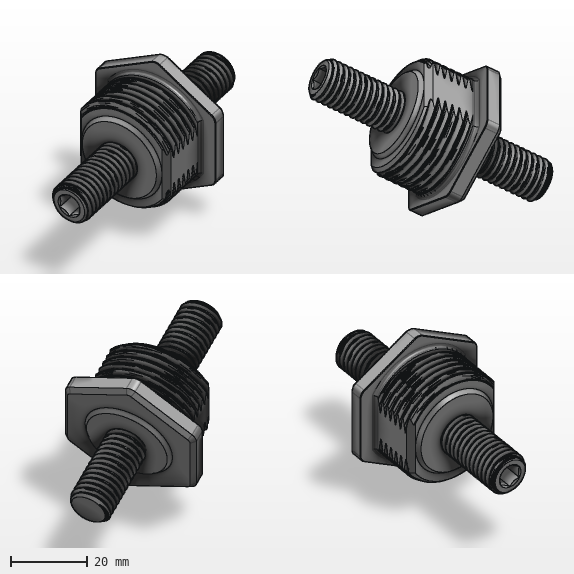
import cadquery as cq
import math

stud_length = 70.0
stud_front = -stud_length / 2
stud_back = stud_length / 2

stud_radius = 6.0
stud_pitch = 1.75
stud_thread_depth = 0.93
stud_crest_flat = stud_pitch / 8
stud_end_chamfer = 1.1
front_crest_y = -12.42
back_crest_y = 34.37

socket_flats = 6.0
socket_mouth_radius = 3.5
socket_depth = 8.0
drill_point_angle = 118.0

flange_flats = 38.1
flange_corner_radius = 2.54
flange_thickness = 5.08
flange_front = 5.3
flange_back = flange_front + flange_thickness
flange_back_chamfer = 1.27
flange_front_chamfer = 0.2

body_radius = 16.7
body_pitch = 2.209
body_thread_depth = 1.77
body_crest_flat = body_pitch / 30
body_crest_y = 2.31
body_front = -10.35
neck_front = 3.9
flat_distance = 14.3
body_end_chamfer_radial = 1.55
body_end_chamfer_axial = 1.8
neck_fillet = 0.9

collar_base_radius = 12.7
collar_face_radius = 11.75
collar_height = 1.2
collar_front = body_front - collar_height
collar_back = flange_back + collar_height

thread_flank_angle = 60.0
cutter_margin = 1.0


def cylinder(radius, y_start, y_end):
    """Cylinder along Y; y_start is below y_end."""
    disc = cq.Workplane("XZ", origin=(0, y_start, 0)).circle(radius)
    return disc.extrude(y_start - y_end)


def hexagon(across_flats, y_start, y_end):
    """Hexagonal prism along Y with corners on +Z and -Z; y_start is below y_end."""
    outline = cq.Workplane("XZ", origin=(0, y_start, 0))
    outline = outline.polygon(6, across_flats, circumscribed=True)
    return outline.extrude(y_start - y_end)


def cone(base_radius, tip_radius, base_y, tip_y):
    """Cone or frustum around Y."""
    outline = cq.Workplane("XY").moveTo(0, base_y).lineTo(base_radius, base_y)
    outline = outline.lineTo(tip_radius, tip_y)
    if tip_radius > 0:
        outline = outline.lineTo(0, tip_y)
    return outline.close().revolve(360, (0, 0, 0), (0, 1, 0))


def threaded_rod(radius, depth, pitch, crest_flat, crest_y, y_start, y_end):
    """Right-handed threaded rod along Y: a cam-shaped cross section twisted along the axis."""
    flank_width = depth * math.tan(math.radians(thread_flank_angle / 2))
    crest_angle = math.pi * crest_flat / pitch
    flank_angle = 2 * math.pi * flank_width / pitch
    root_angle = crest_angle + flank_angle
    middle_angle = crest_angle + flank_angle / 2
    root_radius = radius - depth
    middle_radius = radius - depth / 2

    def polar(distance, angle):
        return (distance * math.cos(angle), distance * math.sin(angle))

    section = cq.Workplane("XY").moveTo(*polar(radius, -crest_angle))
    section = section.threePointArc((radius, 0), polar(radius, crest_angle))
    section = section.threePointArc(
        polar(middle_radius, middle_angle), polar(root_radius, root_angle)
    )
    section = section.threePointArc((-root_radius, 0), polar(root_radius, -root_angle))
    section = section.threePointArc(
        polar(middle_radius, -middle_angle), polar(radius, -crest_angle)
    )
    section = section.close()

    length = y_end - y_start
    rod = section.twistExtrude(length, 360 * length / pitch)
    rod = rod.rotate((0, 0, 0), (0, 0, 1), 360 * (y_start - crest_y) / pitch)

    rod = rod.rotate((0, 0, 0), (1, 1, 1), 240)
    return rod.translate((0, y_start, 0))


def stud_thread(crest_y, y_start, y_end):
    """Length of stud thread with plain ends."""
    return threaded_rod(
        stud_radius, stud_thread_depth, stud_pitch, stud_crest_flat, crest_y, y_start, y_end
    )


def stud_end_cutter(end_y, direction):
    """Ring that chamfers a stud end; direction is the sign of Y pointing into the stud."""
    ring_radius = stud_radius + cutter_margin
    ring_depth = stud_end_chamfer + cutter_margin
    inner_y = end_y + direction * ring_depth
    ring = cylinder(ring_radius, min(end_y, inner_y), max(end_y, inner_y))
    return ring.cut(cone(ring_radius - ring_depth, ring_radius, end_y, inner_y))


def socket():
    """Hexagon socket cutter with a beveled mouth and a drill point."""
    pilot_radius = socket_flats / 2
    bottom = stud_front + socket_depth
    point_height = pilot_radius / math.tan(math.radians(drill_point_angle / 2))
    mouth_depth = socket_mouth_radius - pilot_radius
    hex_hole = hexagon(socket_flats, stud_front, bottom)
    point = cone(pilot_radius, 0, bottom, bottom + point_height)
    mouth = cone(socket_mouth_radius, pilot_radius, stud_front, stud_front + mouth_depth)
    return hex_hole.union(point).union(mouth)


def front_stud():
    """Threaded stud in front of the body, with the socket in its end."""
    stud = stud_thread(front_crest_y, stud_front, collar_front)
    stud = stud.cut(stud_end_cutter(stud_front, 1), clean=False)
    return stud.cut(socket(), clean=False)


def back_stud():
    """Threaded stud behind the flange."""
    stud = stud_thread(back_crest_y, collar_back, stud_back)
    return stud.cut(stud_end_cutter(stud_back, -1), clean=False)


def flange():
    """Hexagonal flange with rounded corners and chamfered rims."""
    plate = hexagon(flange_flats, flange_front, flange_back)
    plate = plate.edges("|Y").fillet(flange_corner_radius)
    plate = plate.faces(">Y").chamfer(flange_back_chamfer)
    return plate.faces("<Y").chamfer(flange_front_chamfer)


def neck_side(half_width):
    """Half profile of the neck: a straight side and a fillet at the flange."""
    fillet_sag = neck_fillet * (1 - math.sqrt(0.5))
    outline = cq.Workplane("XY").moveTo(0, neck_front).lineTo(half_width, neck_front)
    outline = outline.lineTo(half_width, flange_front - neck_fillet)
    outline = outline.threePointArc(
        (half_width + fillet_sag, flange_front - fillet_sag),
        (half_width + neck_fillet, flange_front),
    )
    return outline.lineTo(0, flange_front).close()


def neck():
    """Plain neck between thread and flange, round with two flats."""
    round_neck = neck_side(body_radius).revolve(360, (0, 0, 0), (0, 1, 0))
    right_half = neck_side(flat_distance).extrude(flange_flats / 2, both=True)
    flat_neck = right_half.union(right_half.mirror("YZ"))
    return round_neck.intersect(flat_neck)


def body():
    """Threaded body with two flats and a chamfer around its front end."""
    rod = threaded_rod(
        body_radius, body_thread_depth, body_pitch, body_crest_flat,
        body_crest_y, body_front, neck_front,
    )
    flats = cq.Workplane("XY").box(2 * flat_distance, stud_length, flange_flats)
    rod = rod.intersect(flats)

    chamfer_back = body_front + body_end_chamfer_axial
    ring = cylinder(flange_flats / 2, body_front, chamfer_back)
    ring = ring.cut(
        cone(body_radius - body_end_chamfer_radial, body_radius, body_front, chamfer_back)
    )
    wedge = cq.Workplane("XY").polyline([
        (flat_distance, chamfer_back),
        (flat_distance - body_end_chamfer_radial, body_front),
        (flat_distance + cutter_margin, body_front),
        (flat_distance + cutter_margin, chamfer_back),
    ]).close().extrude(flange_flats / 2, both=True)
    wedges = wedge.union(wedge.mirror("YZ"))
    return rod.cut(ring).cut(wedges)


def collar(base_y, face_y):
    """Tapered collar standing on an end of the body."""
    return cone(collar_base_radius, collar_face_radius, base_y, face_y)


result = (
    flange()
    .union(neck())
    .union(collar(flange_back, collar_back))
    .union(body(), clean=False)
    .union(collar(body_front, collar_front), clean=False)
    .union(front_stud(), clean=False)
    .union(back_stud(), clean=False)
)